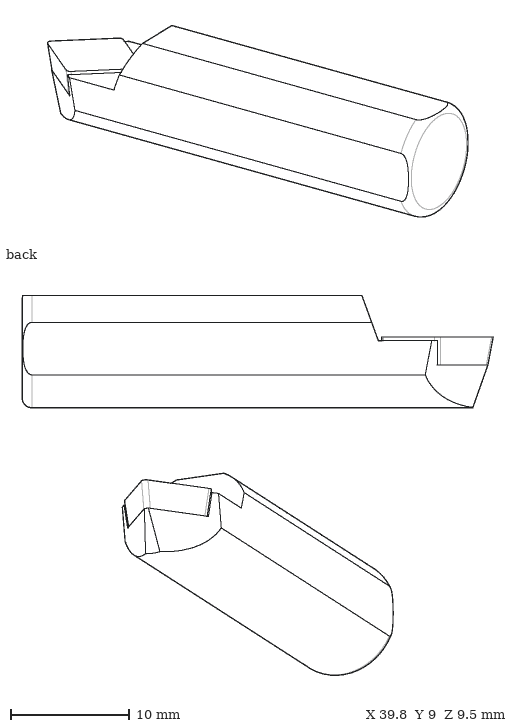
import cadquery as cq
import math


overall_length = 39.78
shank_radius = 5.0
flat_offset = 4.5
end_round = 0.85
rim_radius = shank_radius - end_round

floor_z = 0.68
step_x = 9.7
step_angle = 20.0

inscribed_diameter = 6.35
half_tip_angle = math.radians(40.0)
relief_angle = 7.0
corner_radius = 0.4
insert_top_z = 1.0
insert_thickness = 2.4
insert_bottom_z = insert_top_z - insert_thickness

nose_angle = 19.5

tip_slope = math.tan(math.radians(relief_angle)) / math.sin(half_tip_angle)

flank_normal_y = math.cos(half_tip_angle) * math.cos(math.radians(relief_angle))
half_edge_sine = math.sqrt(1 - flank_normal_y**2)
sharp_overhang = (corner_radius / half_edge_sine - corner_radius) / math.cos(math.atan(tip_slope))

half_diagonal_x = inscribed_diameter / 2 / math.sin(half_tip_angle)
half_diagonal_y = inscribed_diameter / 2 / math.cos(half_tip_angle)
insert_center_x = half_diagonal_x - sharp_overhang

clearance = 7.95
block_size = 2 * (shank_radius + clearance)


def make_insert():
    """Rhombic plate with relieved flanks and four rounded corners."""
    plate = (
        cq.Workplane("XY", origin=(insert_center_x, 0, insert_top_z))
        .polyline([
            (-half_diagonal_x, 0),
            (0, half_diagonal_y),
            (half_diagonal_x, 0),
            (0, -half_diagonal_y),
        ])
        .close()
        .extrude(-insert_thickness, taper=relief_angle)
    )
    return plate.edges("not #Z").fillet(corner_radius)


def make_bar():
    """Round bar with a rounded rear rim and flats on the top and both sides."""
    bar = (
        cq.Workplane("XY")
        .moveTo(0, 0)
        .lineTo(0, shank_radius)
        .lineTo(overall_length - end_round, shank_radius)
        .radiusArc((overall_length, rim_radius), end_round)
        .lineTo(overall_length, 0)
        .close()
        .revolve(360, (0, 0, 0), (1, 0, 0))
    )
    flat_envelope = cq.Workplane("XY").box(
        overall_length, 2 * flat_offset, shank_radius + flat_offset, centered=(False, True, False)
    ).translate((0, 0, -shank_radius))
    return bar.intersect(flat_envelope)


def make_step_cutter():
    """Space above the insert floor, closed at the rear by the sloping step wall."""
    cutter_top = flat_offset + clearance
    wall_run = (cutter_top - floor_z) * math.tan(math.radians(step_angle))
    return (
        cq.Workplane("XZ")
        .polyline([
            (-clearance, floor_z),
            (step_x, floor_z),
            (step_x + wall_run, cutter_top),
            (-clearance, cutter_top),
        ])
        .close()
        .extrude(block_size / 2, both=True)
    )


def make_nose_envelope():
    """Wedge whose two flanks continue the relieved front flanks of the insert."""

    def section(z):
        tip_x = (insert_top_z - z) * tip_slope - sharp_overhang
        half_width = (overall_length - tip_x) * math.tan(half_tip_angle)
        return cq.Wire.makePolygon([
            cq.Vector(tip_x, 0, z),
            cq.Vector(overall_length, half_width, z),
            cq.Vector(overall_length, -half_width, z),
        ], close=True)

    lower = section(-block_size / 2)
    upper = section(block_size / 2)
    return cq.Workplane("XY").add(cq.Solid.makeLoft([lower, upper], True))


def make_nose_cutter():
    """Space ahead of the blunt sloping face below the insert tip."""
    start_x = insert_thickness * tip_slope
    nose_depth = insert_bottom_z + shank_radius + clearance
    nose_run = nose_depth * math.tan(math.radians(nose_angle))
    return (
        cq.Workplane("XZ")
        .polyline([
            (-clearance, insert_bottom_z),
            (start_x, insert_bottom_z),
            (start_x + nose_run, insert_bottom_z - nose_depth),
            (-clearance, insert_bottom_z - nose_depth),
        ])
        .close()
        .extrude(block_size / 2, both=True)
    )


def make_front_pocket():
    """Open space ahead of the insert's side corners, down to the insert seat."""
    return cq.Workplane("XY").box(
        insert_center_x + clearance, block_size, block_size, centered=(False, True, False)
    ).translate((-clearance, 0, insert_bottom_z))


def make_shank(insert):
    return (
        make_bar()
        .cut(make_step_cutter())
        .intersect(make_nose_envelope())
        .cut(make_nose_cutter())
        .cut(make_front_pocket())
        .cut(insert)
    )


insert = make_insert()
shank = make_shank(insert)

result = cq.Compound.makeCompound([shank.solids().val(), insert.solids().val()])